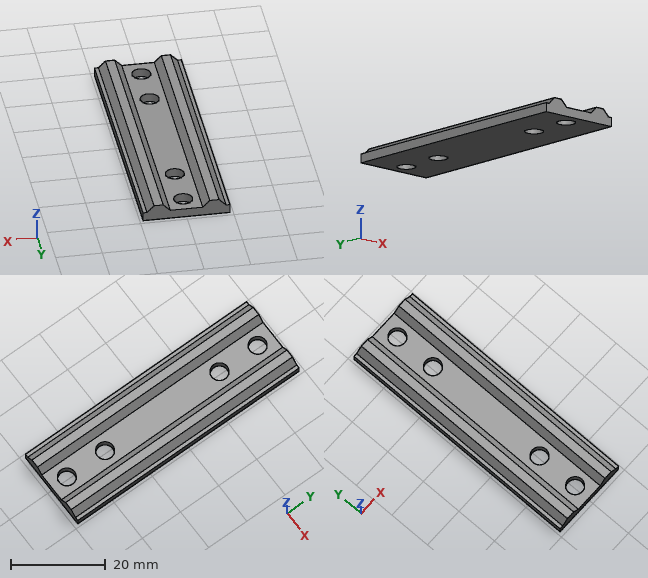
import cadquery as cq

length = 58.0
width = 18.6
height = 3.5
base_thickness = 2.0

ridge_offset = 6.0
ridge_top_width = 2.0
ridge_rise = height - base_thickness
ridge_base_width = ridge_top_width + 2 * ridge_rise

hole_diameter = 4.0
inner_hole_spacing = 30.0
outer_hole_spacing = 50.0


def make_ridge(center_x):
    """Trapezoidal ridge standing on the base plate."""
    half_top = ridge_top_width / 2
    half_base = ridge_base_width / 2
    outline = [
        (center_x - half_base, base_thickness),
        (center_x - half_top, height),
        (center_x + half_top, height),
        (center_x + half_base, base_thickness),
    ]
    return cq.Workplane("XZ").polyline(outline).close().extrude(length / 2, both=True)


plate = cq.Workplane("XY").box(width, length, base_thickness, centered=(True, True, False))
for side in (-1, 1):
    plate = plate.union(make_ridge(side * ridge_offset))

hole_centers = [
    (0, side * spacing / 2)
    for spacing in (inner_hole_spacing, outer_hole_spacing)
    for side in (-1, 1)
]
holes = cq.Workplane("XY").pushPoints(hole_centers).circle(hole_diameter / 2).extrude(height)

result = plate.cut(holes)